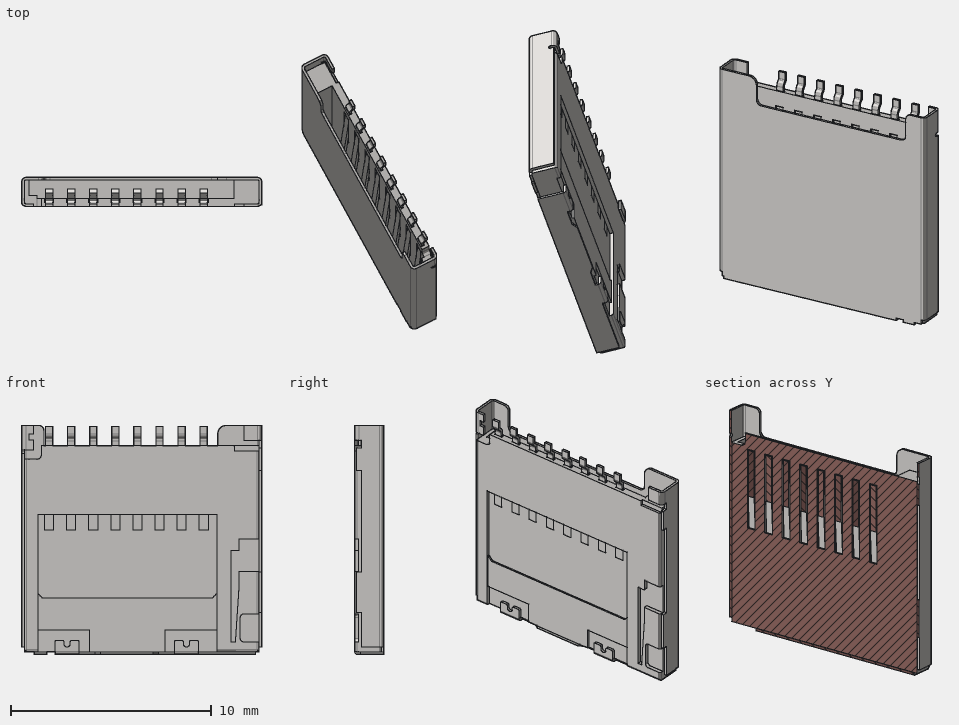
import cadquery as cq
import math


WIDTH = 11.95
DEPTH = 1.46
HEIGHT = 11.4
SHEET = 0.13
BEND_RADIUS = 0.23

HOUSING_LEFT = SHEET
HOUSING_RIGHT = WIDTH - SHEET
HOUSING_BACK = DEPTH - SHEET
HOUSING_BOTTOM = SHEET
HOUSING_TOP = 10.4
EDGE_RADIUS = 0.11

CAVITY_LEFT = 0.36
CAVITY_RIGHT = 10.56
CAVITY_FRONT = 0.4
CAVITY_STEP_X = 0.76
CAVITY_STEP_Y = 0.55
CAVITY_FLOOR = 1.24

NOTCH_RIGHT = 0.98
NOTCH_FLOOR = 9.72
NOTCH_RADIUS = NOTCH_RIGHT - CAVITY_STEP_X

CORNER_STEP_LEFT = 10.59
CORNER_STEP_FLOOR = 10.13
CORNER_STEP_DEPTH = 0.13

RECESS_DEPTH = 0.18
SHALLOW_DEPTH = 0.1
WINDOW_LEFT = 0.8
WINDOW_RIGHT = 9.72
WINDOW_BOTTOM = 2.8
WINDOW_TOP = 6.95
WINDOW_CORNER = 0.24
HOOK_RECESS_DEPTH = 0.2
HOOK_RECESS_WIDTH = 2.58
HOOK_RECESS_TOP = 1.21

LATCH_SLOT_LEFT = 10.41
LATCH_TONGUE_LEFT = 10.8
LATCH_TOP = 5.74
LATCH_SHOULDER = 5.16
LATCH_TONGUE_TOP = 4.12
LATCH_TAPER_TOP = 3.17
LATCH_BOTTOM = 0.62
LATCH_BOTTOM_WIDTH = 0.23
LATCH_DEPTH = 0.2
POCKET_LEFT = 10.87
POCKET_TOP = 2.02
POCKET_RADIUS = 0.18

SHELL_SIDE_BOTTOM = 0.36
SHELL_BACK_TOP = 9.92
BACK_EAR_BLEND = 0.3
LEFT_EAR_RIGHT = 1.11
LEFT_EAR_RADIUS = 0.26
RIGHT_EAR_LEFT = 9.75
RIGHT_EAR_RADIUS = 0.43

LEFT_FLAP_RIGHT = 0.59
LEFT_FLAP_BOTTOM = 10.18
FLAP_NOTCH_LEFT = 0.36
FLAP_NOTCH_BOTTOM = 10.67
FLAP_NOTCH_TOP = 10.96
RIGHT_FLAP_LEFT = 11.07
RIGHT_FLAP_BOTTOM = 10.65

RELIEF_BOTTOM = 9.99
RELIEF_END = 0.38
RELIEF_CORNER = 0.08
LEFT_WALL_FRONT = 0.13
RIGHT_WALL_FRONT = 0.33
FLAP_WRAP = RIGHT_WALL_FRONT
RIGHT_LIP_FRONT = 0.08
RIGHT_LIPS = [(2.08, 4.1), (9.14, 10.28)]

CORNER_TAB_SPAN = (0.62, 1.25)
BOTTOM_PLATE_SPAN = (1.66, 11.64)
BOTTOM_PLATE_FRONT = 0.29
TONGUE_LEFT = 3.65
TONGUE_RIGHT = 6.81
TONGUE_TAPER = 0.29
TONGUE_FRONT = 0.1
HOOK_WIDTH = 1.2
HOOK_CENTERS = [2.26, 8.2]
HOOK_TOP = 0.7
HOOK_BEND_RADIUS = 0.14
HOOK_CORNER = 0.08
HOOK_NOTCH_WIDTH = 0.31
HOOK_NOTCH_BOTTOM = 0.37

CONTACT_COUNT = 8
CONTACT_PITCH = 1.1
FIRST_CONTACT_X = 1.36
CONTACT_WIDTH = 0.37
CONTACT_TOP = 11.35
CONTACT_THICKNESS = 0.13
LEG_FRONT = 0.19
LEG_BACK = LEG_FRONT + CONTACT_THICKNESS
LEG_WIDTH = 0.45
LEG_TOP = 10.37
LEG_BOTTOM = 6.2
TAIL_BEND_BOTTOM = 10.62
TAIL_BEND_TOP = 10.97
TAIL_BEND_MIDDLE = (TAIL_BEND_BOTTOM + TAIL_BEND_TOP) / 2
TAIL_BEND_ANGLE = 2 * math.atan2(LEG_FRONT, TAIL_BEND_TOP - TAIL_BEND_BOTTOM)
BEND_BACK_JOINT = (
    LEG_FRONT / 2 + CONTACT_THICKNESS * math.cos(TAIL_BEND_ANGLE),
    TAIL_BEND_MIDDLE + CONTACT_THICKNESS * math.sin(TAIL_BEND_ANGLE),
)
BEAM_END_Y = 0.67
BEAM_TOP = 9.56
BEAM_BOTTOM = 3.11
TIP_REACH = 0.2
TIP_DROP = 0.18
BEAM_SLOT_BOTTOM = 5.38

CONTACT_CENTERS = [FIRST_CONTACT_X + i * CONTACT_PITCH for i in range(CONTACT_COUNT)]


def block(x0, x1, y0, y1, z0, z1):
    """An upright box given by its two limits along each axis."""
    return cq.Workplane("XY").box(x1 - x0, y1 - y0, z1 - z0, centered=False).translate((x0, y0, z0))


def front_cut(points, depth):
    """A closed outline of (x, z) points on the front face, taken to a depth along +Y."""
    return cq.Workplane("XZ").polyline(points).close().extrude(-depth)


def side_strip(points, center, width):
    """A closed outline of (y, z) points given a width along X about a centre."""
    return cq.Workplane("YZ", origin=(center - width / 2, 0, 0)).polyline(points).close().extrude(width)


def housing_body():
    body = block(HOUSING_LEFT, HOUSING_RIGHT, 0, HOUSING_BACK, HOUSING_BOTTOM, HOUSING_TOP)
    body = body.edges("|Z and >Y").fillet(BEND_RADIUS - SHEET)
    return body.faces("<Y").edges("|Z or <Z").fillet(EDGE_RADIUS)


def card_cavity():
    outline = [
        (CAVITY_LEFT, HOUSING_BACK),
        (CAVITY_LEFT, CAVITY_STEP_Y),
        (CAVITY_STEP_X, CAVITY_STEP_Y),
        (CAVITY_STEP_X, CAVITY_FRONT),
        (CAVITY_RIGHT, CAVITY_FRONT),
        (CAVITY_RIGHT, HOUSING_BACK),
    ]
    plan = cq.Workplane("XY", origin=(0, 0, CAVITY_FLOOR)).polyline(outline).close()
    return plan.extrude(HOUSING_TOP - CAVITY_FLOOR)


def corner_notch():
    notch = block(0, NOTCH_RIGHT, 0, HOUSING_BACK, NOTCH_FLOOR, HEIGHT)
    return notch.edges("|Y and >X and <Z").fillet(NOTCH_RADIUS)


def corner_step():
    return block(CORNER_STEP_LEFT, WIDTH, 0, CORNER_STEP_DEPTH, CORNER_STEP_FLOOR, HOUSING_TOP)


def front_window():
    window = block(WINDOW_LEFT, WINDOW_RIGHT, 0, RECESS_DEPTH, WINDOW_BOTTOM, WINDOW_TOP)
    window = window.edges("|Y and <Z").chamfer(WINDOW_CORNER)
    lower = block(WINDOW_LEFT, WINDOW_RIGHT, 0, SHALLOW_DEPTH, 0, WINDOW_BOTTOM + WINDOW_CORNER)
    left_end = WINDOW_LEFT + HOOK_RECESS_WIDTH
    right_start = WINDOW_RIGHT - HOOK_RECESS_WIDTH
    left_recess = block(WINDOW_LEFT, left_end, 0, HOOK_RECESS_DEPTH, 0, HOOK_RECESS_TOP)
    right_recess = block(right_start, WINDOW_RIGHT, 0, HOOK_RECESS_DEPTH, 0, HOOK_RECESS_TOP)
    return window.union(lower).union(left_recess).union(right_recess)


def latch_slot():
    outline = [
        (WIDTH, LATCH_TOP),
        (LATCH_TONGUE_LEFT, LATCH_TOP),
        (LATCH_TONGUE_LEFT, LATCH_SHOULDER),
        (LATCH_SLOT_LEFT, LATCH_SHOULDER),
        (LATCH_SLOT_LEFT, LATCH_BOTTOM),
        (LATCH_SLOT_LEFT + LATCH_BOTTOM_WIDTH, LATCH_BOTTOM),
        (LATCH_TONGUE_LEFT, LATCH_TAPER_TOP),
        (LATCH_TONGUE_LEFT, LATCH_TONGUE_TOP),
        (WIDTH, LATCH_TONGUE_TOP),
    ]
    return front_cut(outline, LATCH_DEPTH)


def thumb_pocket():
    pocket = block(POCKET_LEFT, WIDTH, 0, LATCH_DEPTH, LATCH_BOTTOM, POCKET_TOP)
    return pocket.edges("|Y and <X").fillet(POCKET_RADIUS)


def beam_slots():
    """Slots through the cavity's front wall that let the contact beams swing into the cavity."""
    slots = cq.Workplane("XY")
    for center in CONTACT_CENTERS:
        left = center - LEG_WIDTH / 2
        slots = slots.union(
            block(left, left + LEG_WIDTH, LEG_BACK, CAVITY_FRONT, BEAM_SLOT_BOTTOM, BEAM_TOP)
        )
    return slots


def make_housing(contacts):
    housing = housing_body()
    for feature in (card_cavity, corner_notch, corner_step, front_window, latch_slot, thumb_pocket):
        housing = housing.cut(feature())
    housing = housing.cut(beam_slots())
    for contact in contacts:
        housing = housing.cut(contact)
    return housing


def shell_channel():
    """The back plate and the two side walls, joined by round bends."""
    outer = block(0, WIDTH, 0, DEPTH, 0, HEIGHT).edges("|Z and >Y").fillet(BEND_RADIUS)
    inner = block(SHEET, WIDTH - SHEET, 0, DEPTH - SHEET, 0, HEIGHT)
    return outer.cut(inner.edges("|Z and >Y").fillet(BEND_RADIUS - SHEET))


def wall_fronts():
    """Everything trimmed from the front edges of the side walls."""
    left_upper = block(0, SHEET, 0, BEND_RADIUS, LEFT_FLAP_BOTTOM, HEIGHT)
    left_lower = block(0, SHEET, 0, LEFT_WALL_FRONT, 0, LEFT_FLAP_BOTTOM)
    right = block(HOUSING_RIGHT, WIDTH, 0, RIGHT_WALL_FRONT, 0, HEIGHT)
    for bottom, top in RIGHT_LIPS:
        right = right.cut(block(HOUSING_RIGHT, WIDTH, RIGHT_LIP_FRONT, DEPTH, bottom, top))
    return left_upper.union(left_lower).union(right)


def front_flaps():
    """The two flaps bent round in front of the side walls at the top."""
    outer = block(0, WIDTH, 0, FLAP_WRAP, RIGHT_FLAP_BOTTOM, HEIGHT)
    left_extension = block(0, LEFT_FLAP_RIGHT, 0, FLAP_WRAP, LEFT_FLAP_BOTTOM, RIGHT_FLAP_BOTTOM)
    outer = outer.union(left_extension).edges("|Z and <Y").edges("<X or >X").fillet(BEND_RADIUS)
    inner = block(SHEET, WIDTH - SHEET, SHEET, DEPTH, LEFT_FLAP_BOTTOM, HEIGHT)
    inner = inner.edges("|Z and <Y").fillet(BEND_RADIUS - SHEET)
    middle = block(LEFT_FLAP_RIGHT, RIGHT_FLAP_LEFT, 0, DEPTH, LEFT_FLAP_BOTTOM, HEIGHT)
    notch = block(FLAP_NOTCH_LEFT, LEFT_FLAP_RIGHT, 0, DEPTH, FLAP_NOTCH_BOTTOM, FLAP_NOTCH_TOP)
    return outer.cut(inner).cut(middle).cut(notch)


def relief_slot():
    """The rounded slot that frees the left flap from the wall below it."""
    slot = block(0, SHEET, 0, RELIEF_END, RELIEF_BOTTOM, LEFT_FLAP_BOTTOM)
    return slot.edges("|X and >Y").fillet(RELIEF_CORNER)


def ear_corner(edge_x, radius, side):
    """The waste outside an ear's rounded top corner; side is +1 for an ear's right edge, -1 for its left."""
    center_x = edge_x - side * radius
    corner = block(
        min(edge_x, center_x), max(edge_x, center_x), HOUSING_BACK, DEPTH, HEIGHT - radius, HEIGHT
    )
    rounding = cq.Workplane("XZ").center(center_x, HEIGHT - radius).circle(radius).extrude(-DEPTH)
    return corner.cut(rounding)


def back_ear_gap():
    """The opening above the back plate, between the two rounded ears."""
    gap = block(LEFT_EAR_RIGHT, RIGHT_EAR_LEFT, HOUSING_BACK, DEPTH, SHELL_BACK_TOP, HEIGHT)
    gap = gap.edges("|Y and <Z").fillet(BACK_EAR_BLEND)
    left_corner = ear_corner(LEFT_EAR_RIGHT, LEFT_EAR_RADIUS, 1)
    right_corner = ear_corner(RIGHT_EAR_LEFT, RIGHT_EAR_RADIUS, -1)
    return gap.union(left_corner).union(right_corner)


def bottom_trim():
    """Shortens the side walls and cuts the back plate's lower edge into tabs."""
    left_side = block(0, BEND_RADIUS, 0, DEPTH, 0, SHELL_SIDE_BOTTOM)
    right_side = block(WIDTH - BEND_RADIUS, WIDTH, 0, DEPTH, 0, SHELL_SIDE_BOTTOM)
    edge = block(0, WIDTH, 0, DEPTH, 0, HOUSING_BOTTOM)
    for left, right in (CORNER_TAB_SPAN, BOTTOM_PLATE_SPAN):
        edge = edge.cut(block(left, right, 0, DEPTH, 0, HOUSING_BOTTOM))
    return left_side.union(right_side).union(edge)


def bottom_plate():
    """The plate bent under the housing, with a tapered tongue at the middle of its front edge."""
    left, right = BOTTOM_PLATE_SPAN
    outline = [
        (left, DEPTH),
        (left, BOTTOM_PLATE_FRONT),
        (TONGUE_LEFT, BOTTOM_PLATE_FRONT),
        (TONGUE_LEFT + TONGUE_TAPER, TONGUE_FRONT),
        (TONGUE_RIGHT - TONGUE_TAPER, TONGUE_FRONT),
        (TONGUE_RIGHT, BOTTOM_PLATE_FRONT),
        (right, BOTTOM_PLATE_FRONT),
        (right, DEPTH),
    ]
    return cq.Workplane("XY").polyline(outline).close().extrude(SHEET)


def hook(center):
    """A strap at the front of the bottom plate, bent up before the housing and notched at its edge."""
    left = center - HOOK_WIDTH / 2
    right = center + HOOK_WIDTH / 2
    notch_radius = HOOK_NOTCH_WIDTH / 2
    notch_center = HOOK_NOTCH_BOTTOM + notch_radius
    strap = block(left, right, 0, BOTTOM_PLATE_FRONT, 0, SHEET)
    plate = block(left, right, 0, SHEET, 0, HOOK_TOP)
    round_end = cq.Workplane("XZ").center(center, notch_center).circle(notch_radius).extrude(-SHEET)
    slot = block(center - notch_radius, center + notch_radius, 0, SHEET, notch_center, HOOK_TOP)
    bent = strap.union(plate).edges("|X and <Y and <Z").fillet(HOOK_BEND_RADIUS)
    return bent.cut(round_end).cut(slot).edges("|Y and >Z").fillet(HOOK_CORNER)


def make_shell():
    shell = shell_channel().cut(wall_fronts()).union(front_flaps()).union(bottom_plate())
    for trim in (relief_slot, back_ear_gap, bottom_trim):
        shell = shell.cut(trim())
    for center in HOOK_CENTERS:
        shell = shell.union(hook(center))
    return shell


def make_contact(center):
    """A solder tail stepped back into a wide buried leg, then a beam slanting into the cavity."""
    tail = (
        cq.Workplane("YZ", origin=(center - CONTACT_WIDTH / 2, 0, 0))
        .moveTo(0, CONTACT_TOP)
        .lineTo(0, TAIL_BEND_TOP)
        .tangentArcPoint((LEG_FRONT / 2, TAIL_BEND_MIDDLE), relative=False)
        .tangentArcPoint((LEG_FRONT, TAIL_BEND_BOTTOM), relative=False)
        .lineTo(LEG_FRONT, LEG_TOP)
        .lineTo(LEG_BACK, LEG_TOP)
        .lineTo(LEG_BACK, TAIL_BEND_BOTTOM)
        .tangentArcPoint(BEND_BACK_JOINT, relative=False)
        .tangentArcPoint((CONTACT_THICKNESS, TAIL_BEND_TOP), relative=False)
        .lineTo(CONTACT_THICKNESS, CONTACT_TOP)
        .close()
        .extrude(CONTACT_WIDTH)
    )
    half_leg = LEG_WIDTH / 2
    leg = block(center - half_leg, center + half_leg, LEG_FRONT, LEG_BACK, LEG_BOTTOM, LEG_TOP)
    beam = side_strip(
        [
            (LEG_FRONT, BEAM_TOP),
            (LEG_BACK, BEAM_TOP),
            (BEAM_END_Y, BEAM_BOTTOM),
            (BEAM_END_Y + TIP_REACH, BEAM_BOTTOM - TIP_DROP),
            (BEAM_END_Y + TIP_REACH, BEAM_BOTTOM - TIP_DROP - CONTACT_THICKNESS),
            (BEAM_END_Y - CONTACT_THICKNESS, BEAM_BOTTOM - CONTACT_THICKNESS / 2),
        ],
        center,
        CONTACT_WIDTH,
    )
    return tail.union(leg).union(beam)


contacts = [make_contact(center) for center in CONTACT_CENTERS]
housing = make_housing(contacts)
shell = make_shell()

bodies = [housing, shell, *contacts]
result = cq.Compound.makeCompound([body.solids().val() for body in bodies])